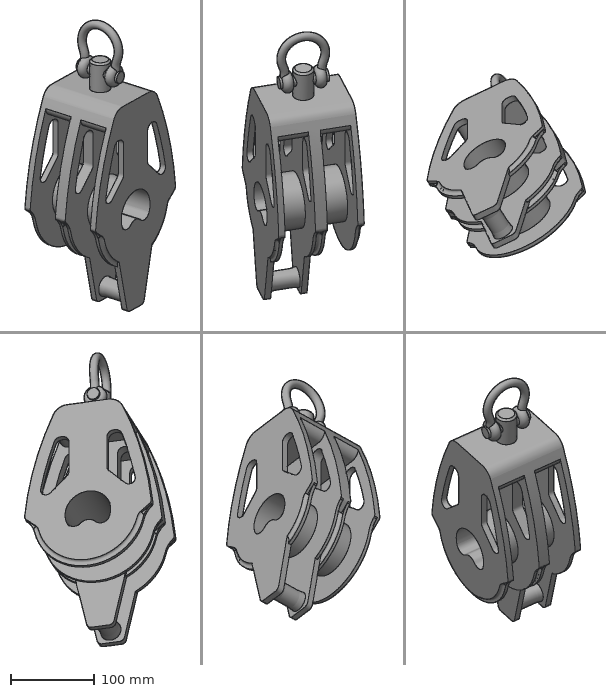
import cadquery as cq
import math


outer_thickness = 8.0
inner_thickness = 7.47
bay_width = 38.0
outer_face = inner_thickness + bay_width + outer_thickness

half_depth = 79.0
head_top = 148.7
crown_half = 26.0
crown_end = (43.0, 138.0)
side_radius = 415.5
corner_radius = 5.5
corner_z = 5.0
side_end_angle = math.radians(6)
flank_angle = math.radians(39)
lip_radius = 69.5
lip_shoulder = 31.0

rebate = 3.5
face_radius = 63.5
face_shoulder = 13.5

drum_diameter = 70.0
bore_radius = 28.5
lobe_radius = 10.5
lobe_y = 16.8
hump_top = -10.0

window_inner = 23.7
window_rim = 15.3
window_top = 106.5
window_knee = 55.0
window_slope = math.radians(44)
window_top_round = 8.7
window_round = 7.3

bridge_bottom = 115.5
bridge_half_depth = 48.0
bridge_round = 11.0

tab_bottom = -127.2
tab_half_bottom = 16.0
tab_taper = math.radians(12.8)
tab_round = 6.2
spacer_z = -111.0
spacer_waist_diameter = 23.5
spacer_end_diameter = 25.5
spacer_waist_length = 22.2

post_diameter = 25.5
post_top = 187.0
post_chamfer = 2.5
pin_diameter = 15.3
pin_half_length = 30.5
pin_z = 171.3
eye_x = 20.8
eye_radius = 14.05
eye_thickness = 13.5
wire_diameter = 10.5
shackle_top = 237.3
bow_half_width = 32.8
leg_lean = math.radians(18)
neck_z = 190.0
neck_bend_radius = 20.0


def mirrored(point):
    return (-point[0], point[1])


def along(point, direction, distance):
    return (point[0] + distance * direction[0], point[1] + distance * direction[1])


def arc_middle(start, end, radius):
    """Middle point of the arc of this radius, bulging away from the axis, from start to end."""
    chord = math.dist(start, end)
    sagitta = radius - math.sqrt(radius**2 - chord**2 / 4)
    middle = ((start[0] + end[0]) / 2, (start[1] + end[1]) / 2)
    outward = (abs(end[1] - start[1]) / chord, abs(end[0] - start[0]) / chord)
    return along(middle, outward, sagitta)


flank = (math.cos(flank_angle), math.sin(flank_angle))
flank_normal = (flank[1], -flank[0])
corner_center = (half_depth - corner_radius, corner_z)
side_end = along(corner_center, (math.cos(side_end_angle), math.sin(side_end_angle)), corner_radius)
corner_mid = (half_depth, corner_z)
flank_start = along(corner_center, flank_normal, corner_radius)
flank_offset = flank_start[0] * flank_normal[0] + flank_start[1] * flank_normal[1]
crown_run = crown_end[0] - crown_half
crown_drop = head_top - crown_end[1]
crown_radius = (crown_run**2 + crown_drop**2) / (2 * crown_drop)
crown_mid = arc_middle((crown_half, head_top), crown_end, crown_radius)
side_mid = arc_middle(crown_end, side_end, side_radius)


def shoulder(disc_radius, radius):
    """Centre, flank touch point, middle and disc touch point of the concave shoulder arc."""
    across = flank_offset + radius
    reach = math.sqrt((disc_radius + radius) ** 2 - across**2)
    center = along((across * flank_normal[0], across * flank_normal[1]), flank, reach)
    flank_touch = along(center, flank_normal, -radius)
    toward_axis = (-center[0] / (disc_radius + radius), -center[1] / (disc_radius + radius))
    disc_touch = along(center, toward_axis, radius)
    bisector = (toward_axis[0] - flank_normal[0], toward_axis[1] - flank_normal[1])
    middle = along(center, bisector, radius / math.hypot(*bisector))
    return center, flank_touch, middle, disc_touch


def cheek_layer(disc_radius, shoulder_radius, start, end):
    """Slab with the cheek outline, from X = start to X = end."""
    _, flank_touch, middle, disc_touch = shoulder(disc_radius, shoulder_radius)
    return (
        cq.Workplane("YZ", origin=(start, 0, 0))
        .moveTo(-crown_half, head_top)
        .lineTo(crown_half, head_top)
        .threePointArc(crown_mid, crown_end)
        .threePointArc(side_mid, side_end)
        .threePointArc(corner_mid, flank_start)
        .lineTo(*flank_touch)
        .threePointArc(middle, disc_touch)
        .threePointArc((0, -disc_radius), mirrored(disc_touch))
        .threePointArc(mirrored(middle), mirrored(flank_touch))
        .lineTo(*mirrored(flank_start))
        .threePointArc(mirrored(corner_mid), mirrored(side_end))
        .threePointArc(mirrored(side_mid), mirrored(crown_end))
        .threePointArc(mirrored(crown_mid), (-crown_half, head_top))
        .close()
        .extrude(end - start)
    )


def groove_ring(radius, step):
    """Ring about the X axis with a half-round groove; step is +1 for a groove facing outward, -1 inward."""
    rim = radius + step * rebate
    root = radius - step * rebate
    return (
        cq.Workplane("XY")
        .moveTo(-rebate, root)
        .lineTo(-rebate, rim)
        .threePointArc((0, radius), (rebate, rim))
        .lineTo(rebate, root)
        .close()
        .revolve(360, (0, 0, 0), (1, 0, 0))
    )


def shoulder_groove():
    """Groove along the shoulder arc on the +Y side."""
    center, flank_touch, _, disc_touch = shoulder(face_radius, face_shoulder)
    overshoot = 2
    sector_points = [center]
    for touch in (flank_touch, disc_touch):
        spoke = (touch[0] - center[0], touch[1] - center[1])
        sector_points.append(along(center, spoke, overshoot))
    sector = (
        cq.Workplane("YZ", origin=(-rebate, 0, 0))
        .polyline(sector_points)
        .close()
        .extrude(2 * rebate)
    )
    return groove_ring(face_shoulder, -1).translate((0, *center)).intersect(sector)


def tab(thickness):
    """Tapered becket tab hanging from the drum axis."""
    half_top = tab_half_bottom - tab_bottom * math.tan(tab_taper)
    return (
        cq.Workplane("YZ")
        .polyline([
            (-half_top, 0),
            (half_top, 0),
            (tab_half_bottom, tab_bottom),
            (-tab_half_bottom, tab_bottom),
        ])
        .close()
        .extrude(thickness)
        .edges("|X and <Z")
        .fillet(tab_round)
    )


def grooved_plate(half_thickness):
    """Two cheeks back to back about X = 0, with the rope groove between their lips."""
    shoulder_part = shoulder_groove()
    groove = groove_ring(face_radius, 1).union(shoulder_part).union(shoulder_part.mirror("XZ"))
    groove = groove.intersect(cheek_layer(lip_radius, lip_shoulder, -rebate, rebate))
    lip = cheek_layer(lip_radius, lip_shoulder, rebate, half_thickness)
    core = cheek_layer(face_radius, face_shoulder, -half_thickness, half_thickness)
    return core.union(groove).union(lip).union(lip.mirror("YZ"))


def outer_cheek():
    """Half of a grooved plate, with its outer face at X = 0 and its lip toward +X."""
    keep = cq.Workplane("XY").box(outer_thickness, 364.5, 729, centered=(False, True, True))
    return grooved_plate(outer_thickness).intersect(keep)


def bridge():
    """Solid head joining all the cheeks, rounded underneath."""
    bar_height = 2 * (head_top - bridge_bottom)
    bar = (
        cq.Workplane("XY", origin=(0, 0, bridge_bottom))
        .box(2 * outer_face, 2 * bridge_half_depth, bar_height, centered=(True, True, False))
        .edges("|X and <Z")
        .fillet(bridge_round)
    )
    profile = cheek_layer(face_radius, face_shoulder, -outer_face, outer_face)
    return bar.intersect(profile)


def bore():
    """Kidney-shaped bore: a circle whose underside is pushed in by a hump between two lobes."""
    lobe_reach = bore_radius - lobe_radius
    lobe_z = -math.sqrt(lobe_reach**2 - lobe_y**2)
    drop = hump_top - lobe_z
    hump_radius = (lobe_y**2 + drop**2 - lobe_radius**2) / (2 * (lobe_radius + drop))
    hump_z = hump_top - hump_radius
    lobe = (lobe_y, lobe_z)
    outer_touch = (lobe_y * bore_radius / lobe_reach, lobe_z * bore_radius / lobe_reach)
    lobe_bottom = (lobe_y, lobe_z - lobe_radius)
    share = lobe_radius / (lobe_radius + hump_radius)
    hump_touch = along(lobe, (-lobe_y, hump_z - lobe_z), share)
    return (
        cq.Workplane("YZ", origin=(-outer_face, 0, 0))
        .moveTo(*mirrored(outer_touch))
        .threePointArc((0, bore_radius), outer_touch)
        .threePointArc(lobe_bottom, hump_touch)
        .threePointArc((0, hump_top), mirrored(hump_touch))
        .threePointArc(mirrored(lobe_bottom), mirrored(outer_touch))
        .close()
        .extrude(2 * outer_face)
    )


def window():
    """Window through all the cheeks on the +Y side, its outer edge following the cheek side."""
    chord = math.dist(crown_end, side_end)
    inset = (
        -window_rim * (crown_end[1] - side_end[1]) / chord,
        -window_rim * (side_end[0] - crown_end[0]) / chord,
    )
    start = along(crown_end, inset, 1)
    end = along(side_end, inset, 1)
    middle = arc_middle(start, end, side_radius - window_rim)
    far_y = half_depth
    far_z = window_knee - (far_y - window_inner) * math.tan(window_slope)
    frame = (
        cq.Workplane("YZ", origin=(-outer_face, 0, 0))
        .polyline([
            (window_inner, window_knee),
            (window_inner, window_top),
            (far_y, window_top),
            (far_y, far_z),
        ])
        .close()
        .extrude(2 * outer_face)
    )
    inside = (
        cq.Workplane("YZ", origin=(-outer_face, 0, 0))
        .moveTo(0, start[1])
        .lineTo(*start)
        .threePointArc(middle, end)
        .lineTo(0, end[1])
        .close()
        .extrude(2 * outer_face)
    )
    opening = frame.intersect(inside)
    opening = opening.edges("|X and >Z").fillet(window_top_round)
    opening = opening.edges("|X and <Z").fillet(window_round)
    knee = cq.selectors.NearestToPointSelector((0, window_inner, window_knee))
    return opening.edges("|X").edges(knee).fillet(window_round)


def x_cylinder(diameter, start, end, z):
    return cq.Workplane("YZ", origin=(start, 0, z)).circle(diameter / 2).extrude(end - start)


def spacer():
    """Waisted roller between the two becket tabs."""
    bay_start = inner_thickness
    bay_end = bay_start + bay_width
    flare = (bay_width - spacer_waist_length) / 2
    return (
        cq.Workplane("XY")
        .moveTo(bay_start, 0)
        .lineTo(bay_start, spacer_end_diameter / 2)
        .lineTo(bay_start + flare, spacer_waist_diameter / 2)
        .lineTo(bay_end - flare, spacer_waist_diameter / 2)
        .lineTo(bay_end, spacer_end_diameter / 2)
        .lineTo(bay_end, 0)
        .close()
        .revolve(360, (0, 0, 0), (1, 0, 0))
        .translate((0, 0, spacer_z))
    )


def post():
    height = post_top - bridge_bottom
    column = cq.Workplane("XY", origin=(0, 0, bridge_bottom)).circle(post_diameter / 2).extrude(height)
    return column.faces(">Z").chamfer(post_chamfer)


def shackle_eye():
    """Disc with a fully rounded rim, centred on the pin."""
    half = eye_thickness / 2
    return (
        cq.Workplane("XY")
        .moveTo(-half, 0)
        .lineTo(-half, eye_radius - half)
        .threePointArc((0, eye_radius), (half, eye_radius - half))
        .lineTo(half, 0)
        .close()
        .revolve(360, (0, 0, 0), (1, 0, 0))
        .translate((eye_x, 0, pin_z))
    )


def bow():
    """Bent wire: an arc over the top, two legs leaning inward, and a short bend into each eye."""
    radius = bow_half_width - wire_diameter / 2
    center_z = shackle_top - bow_half_width
    leg_top = (radius * math.cos(leg_lean), center_z - radius * math.sin(leg_lean))
    neck = (leg_top[0] - (leg_top[1] - neck_z) * math.tan(leg_lean), neck_z)
    bend_center = along(neck, (-math.cos(leg_lean), math.sin(leg_lean)), -neck_bend_radius)
    bend_end = (bend_center[0] - neck_bend_radius, bend_center[1])
    half_lean = leg_lean / 2
    bend_mid = along(bend_center, (-math.cos(half_lean), math.sin(half_lean)), neck_bend_radius)
    foot = (bend_end[0], pin_z)
    path = (
        cq.Workplane("XZ")
        .moveTo(*mirrored(foot))
        .lineTo(*mirrored(bend_end))
        .threePointArc(mirrored(bend_mid), mirrored(neck))
        .lineTo(*mirrored(leg_top))
        .threePointArc((0, center_z + radius), leg_top)
        .lineTo(*neck)
        .threePointArc(bend_mid, bend_end)
        .lineTo(*foot)
    )
    wire = cq.Workplane("XY", origin=(-foot[0], 0, pin_z)).circle(wire_diameter / 2)
    return wire.sweep(path)


middle_plate = grooved_plate(inner_thickness).union(tab(inner_thickness))
left_cheek = outer_cheek().translate((-outer_face, 0, 0))
right_cheek = outer_cheek().union(tab(outer_thickness)).mirror("YZ").translate((outer_face, 0, 0))
block = bridge().union(middle_plate).union(left_cheek).union(right_cheek)

opening = window()
block = block.cut(opening).cut(opening.mirror("XZ"))

drum_end = inner_thickness + bay_width
block = block.union(x_cylinder(drum_diameter, -drum_end, drum_end, 0))
block = block.cut(bore())

right_eye = shackle_eye()
shackle = x_cylinder(pin_diameter, -pin_half_length, pin_half_length, pin_z)
shackle = shackle.union(right_eye).union(right_eye.mirror("YZ")).union(bow())

result = block.union(spacer()).union(post()).union(shackle)